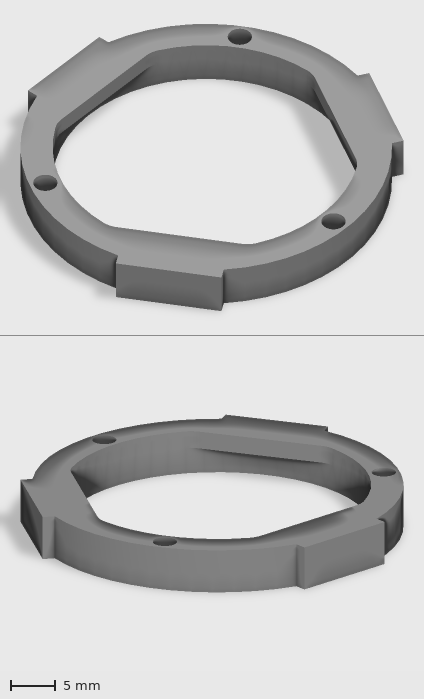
import cadquery as cq
import math

height = 5.0
outer_radius = 20.7
bore_radius = 17.1

tab_angles = (90, 210, 330)
tab_width = 12.0
tab_reach = 21.17

lip_thickness = 2.0
tab_and_lip_depth = 6.0
flat_distance = tab_reach - tab_and_lip_depth
lip_corner_radius = 3.0

hole_diameter = 2.7
hole_circle_radius = (outer_radius + bore_radius) / 2
hole_angles = (30, 150, 270)


def placed_at(shape, angle):
    """Turn a shape built on the +X axis to an angle about the ring axis."""
    return shape.rotate((0, 0, 0), (0, 0, 1), angle)


def make_outer_disc():
    """Solid disc with the three tabs, before the bore is cut."""
    disc = cq.Workplane("XY").circle(outer_radius).extrude(height)
    tab = cq.Workplane("XY").box(tab_reach, tab_width, height, centered=(False, True, False))
    for angle in tab_angles:
        disc = disc.union(placed_at(tab, angle))
    return disc


def make_lip():
    """Circular segment on the +X side, its flat blending into the bore with rounded corners."""
    blend_centre_x = flat_distance - lip_corner_radius
    blend_centre_radius = bore_radius - lip_corner_radius
    blend_angle = math.acos(blend_centre_x / blend_centre_radius)
    blend_centre_y = blend_centre_radius * math.sin(blend_angle)

    flat_end_y = blend_centre_y
    bore_end_x = bore_radius * math.cos(blend_angle)
    bore_end_y = bore_radius * math.sin(blend_angle)
    blend_mid_x = blend_centre_x + lip_corner_radius * math.cos(blend_angle / 2)
    blend_mid_y = blend_centre_y + lip_corner_radius * math.sin(blend_angle / 2)

    return (
        cq.Workplane("XY", origin=(0, 0, height - lip_thickness))
        .moveTo(flat_distance, -flat_end_y)
        .lineTo(flat_distance, flat_end_y)
        .threePointArc((blend_mid_x, blend_mid_y), (bore_end_x, bore_end_y))
        .threePointArc((bore_radius, 0), (bore_end_x, -bore_end_y))
        .threePointArc((blend_mid_x, -blend_mid_y), (flat_distance, -flat_end_y))
        .close()
        .extrude(lip_thickness)
    )


def make_bore():
    """Material removed from the middle: a round bore that keeps the three lips."""
    bore = cq.Workplane("XY").circle(bore_radius).extrude(height)
    lip = make_lip()
    for angle in tab_angles:
        bore = bore.cut(placed_at(lip, angle))
    return bore


def make_holes():
    """Cylinders for the three through holes."""
    hole = cq.Workplane("XY").center(hole_circle_radius, 0).circle(hole_diameter / 2).extrude(height)
    holes = cq.Workplane("XY")
    for angle in hole_angles:
        holes = holes.add(placed_at(hole, angle))
    return holes.combine()


result = make_outer_disc().cut(make_bore()).cut(make_holes())